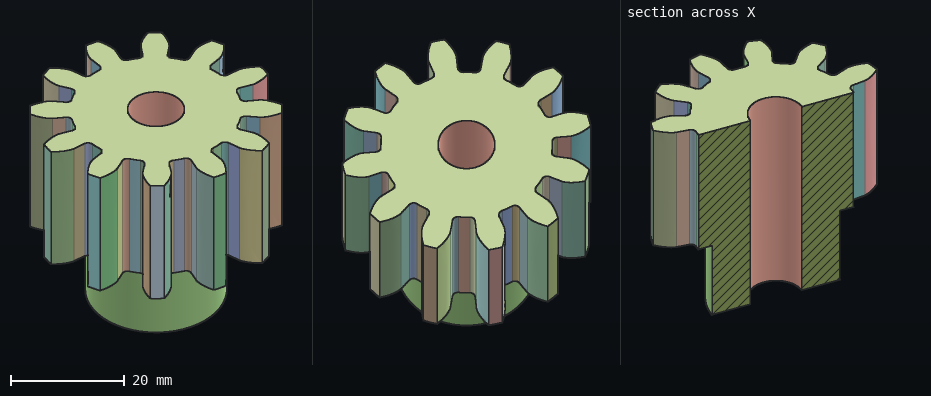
import cadquery as cq
import math

OVERALL_WIDTH = 43.5
TOOTH_COUNT = 12
PRESSURE_ANGLE = math.radians(14.5)
ROOT_RADIUS = 15.1
ROOT_FILLET = 0.95
HUB_DIAMETER = 24.97
HUB_LENGTH = 15.0
FACE_WIDTH = 24.97
BORE_DIAMETER = 10.0
FLANK_SEGMENTS = 6

PITCH_ANGLE = 2 * math.pi / TOOTH_COUNT
FIRST_TOOTH_ANGLE = PITCH_ANGLE / 2


def involute(angle):
    return math.tan(angle) - angle


def half_tooth_angle(radius_to_base):
    """Half the angle spanned by a tooth at a multiple of the base radius."""
    half_angle_at_base = PITCH_ANGLE / 4 + involute(PRESSURE_ANGLE)
    return half_angle_at_base - involute(math.acos(1 / radius_to_base))


TIP_TO_BASE = (TOOTH_COUNT + 2) / (TOOTH_COUNT * math.cos(PRESSURE_ANGLE))
TIP_CORNER_ANGLE = FIRST_TOOTH_ANGLE - half_tooth_angle(TIP_TO_BASE)
TIP_RADIUS = OVERALL_WIDTH / 2 / math.cos(TIP_CORNER_ANGLE)
BASE_RADIUS = TIP_RADIUS / TIP_TO_BASE


def polar(radius, angle):
    return (radius * math.cos(angle), radius * math.sin(angle))


def flank(center_angle, side):
    """Points of one involute flank, from the base circle out to the tip."""
    points = []
    for step in range(FLANK_SEGMENTS + 1):
        ratio = 1 + (TIP_TO_BASE - 1) * (step / FLANK_SEGMENTS) ** 2
        angle = center_angle + side * half_tooth_angle(ratio)
        points.append(polar(BASE_RADIUS * ratio, angle))
    return points


def gear_body():
    """Toothed body with radial flanks below the base circle and filleted roots."""
    root_half_angle = half_tooth_angle(1)
    outline = cq.Workplane("XY").workplane(offset=HUB_LENGTH)
    outline = outline.moveTo(*polar(ROOT_RADIUS, FIRST_TOOTH_ANGLE - root_half_angle))
    for tooth in range(TOOTH_COUNT):
        center = FIRST_TOOTH_ANGLE + tooth * PITCH_ANGLE
        rising = flank(center, -1)
        falling = flank(center, 1)[::-1]
        next_root = center + PITCH_ANGLE - root_half_angle
        outline = (
            outline.lineTo(*rising[0])
            .spline(rising[1:], includeCurrent=True)
            .threePointArc(polar(TIP_RADIUS, center), falling[0])
            .spline(falling[1:], includeCurrent=True)
            .lineTo(*polar(ROOT_RADIUS, center + root_half_angle))
            .threePointArc(
                polar(ROOT_RADIUS, center + PITCH_ANGLE / 2),
                polar(ROOT_RADIUS, next_root),
            )
        )
    body = outline.close().extrude(FACE_WIDTH)
    root_limit = ROOT_RADIUS + ROOT_FILLET
    corners = body.edges("|Z").filter(
        lambda edge: math.hypot(edge.Center().x, edge.Center().y) < root_limit
    )
    return corners.fillet(ROOT_FILLET)


hub = cq.Workplane("XY").circle(HUB_DIAMETER / 2).extrude(HUB_LENGTH)
bore = cq.Workplane("XY").circle(BORE_DIAMETER / 2).extrude(HUB_LENGTH + FACE_WIDTH)
result = gear_body().union(hub).cut(bore)